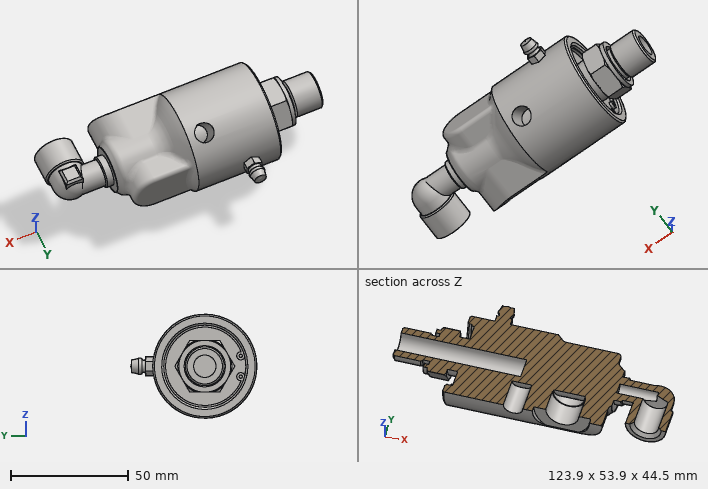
import cadquery as cq
import math

total_length = 123.9
total_width = 53.9
body_dia = 44.5
body_start = 25.9
body_end = 65.0
body_chamfer = 0.7

overlap = 1.2

stub_dia = 16.6
stub_length = 13.1
stub_chamfer = 0.7
relief_dia = 14.6
washer_start = 14.2
washer_hole_dia = 17.6
washer_end = 16.1
nut_size = 22.2
nut_end = 24.8
nut_corner_length = 0.6
nut_corner_depth = 1.2
collar_dia = 19.2
shaft_dia = stub_dia
bore_dia = 9.5
bore_depth = 55.8

recess_dia = 35.0
recess_chamfer = 0.9
ring_recess = 2.0
ring_thickness = 1.2
recess_floor = body_start + ring_recess + ring_thickness
ring_inner_dia = 33.5
ring_eye_dia = 3.5
ring_eye_hole_dia = 1.4
ring_eye_y = -15.4
ring_eye_z = 4.5

hub_dia = 25.9
hub_end = 97.9
hub_end_dia = 20.6
hub_rim_width = 0.2
hub_taper_start = 96.0
hub_taper_radius = 11.8
hub_round_start = 93.4
hub_round_mid_x = 94.9
hub_round_mid_radius = 12.6
shoulder_end = 68.8
blend_start = 70.6
blend_start_radius = 16.4
blend_end = 78.0

lug_center_x = 84.1
port_lug_half_height = 12.8
plain_lug_half_height = 10.0
plain_lug_face_y = 19.1
plain_lug_edge_fillet = 2.0
plain_seam_fillet = 3.0
port_seam_fillet = 2.0
seam_tolerance = 0.001

port_x = 78.5
port_dia = 14.6
port_inner_dia = 13.9
port_step_y = -9.3
port_face_dia = 25.1
port_face_y = -19.8
drain_x = 57.4
drain_dia = 8.5
drain_count = 3

flange_end = 101.3
flange_dia = 13.9
flange_chamfer = 0.5
elbow_tube_dia = 12.0
socket_dia = 18.0
elbow_x = total_length - socket_dia / 2
socket_top_y = -5.7
socket_chamfer = 0.6
socket_end_y = -18.0
elbow_dome_dia = 15.9
elbow_dome_y = -1.5
elbow_boss_size = 7.9
elbow_boss_top = 8.4
elbow_boss_chamfer = 1.0
socket_bore_dia = 10.8
socket_mouth_dia = 13.9
socket_bore_depth = 16.1
socket_cone_depth = 2.5
cross_bore_dia = 5.0

nipple_x = 40.3
nipple_hex_size = 7.0
nipple_hex_start = 18.6
nipple_hex_end = 25.3
nipple_base_radius = 3.0
nipple_neck_radius = 2.6
nipple_neck_y = 26.0
nipple_ball_base_radius = 3.2
nipple_ball_base_y = 26.9
nipple_ball_radius = 3.6
nipple_ball_y = 27.8
nipple_ball_top_radius = 3.3
nipple_ball_top_y = 28.4
nipple_head_radius = 2.7
nipple_head_y = 31.3
nipple_valve_radius = 1.0
nipple_tip_y = total_width - body_dia / 2


def cylinder_x(dia, start, end):
    """Cylinder on the rotor axis between two X positions."""
    return cq.Workplane("YZ", origin=(start, 0, 0)).circle(dia / 2).extrude(end - start)


def cylinder_y(dia, x, start, end):
    """Cylinder along Y, crossing the rotor axis at the given X."""
    plane = cq.Plane(origin=(x, start, 0), xDir=(1, 0, 0), normal=(0, 1, 0))
    return cq.Workplane(plane).circle(dia / 2).extrude(end - start)


def make_rotor():
    stub = cylinder_x(stub_dia, 0, stub_length).faces("<X or >X").chamfer(stub_chamfer)
    washer = cylinder_x(nut_size, washer_start, washer_end)
    washer = washer.cut(cylinder_x(washer_hole_dia, washer_start, washer_end))
    rotor = stub.union(cylinder_x(relief_dia, stub_length - overlap, nut_end)).union(washer)
    corner_dia = nut_size / math.cos(math.pi / 6)
    nut = (
        cq.Workplane("YZ", origin=(washer_end, 0, 0))
        .polygon(6, corner_dia)
        .extrude(nut_end - washer_end)
    )
    rounding = cylinder_x(corner_dia, washer_end, nut_end)
    rounding = rounding.faces("<X or >X").chamfer(nut_corner_length, nut_corner_depth)
    rotor = rotor.union(nut.intersect(rounding))
    return rotor.union(cylinder_x(collar_dia, nut_end, recess_floor))


def make_barrel():
    barrel = cylinder_x(body_dia, body_start, body_end)
    return barrel.faces("<X").chamfer(body_chamfer)


def make_hub():
    cone_angle = 2 * math.atan2(blend_start_radius - hub_dia / 2, blend_end - blend_start)
    shoulder_end_radius = blend_start_radius + (blend_start - shoulder_end) * math.tan(cone_angle)
    profile = (
        cq.Workplane("XY")
        .moveTo(hub_end, 0)
        .lineTo(hub_end, hub_end_dia / 2)
        .lineTo(hub_end - hub_rim_width, hub_end_dia / 2)
        .lineTo(hub_taper_start, hub_taper_radius)
        .threePointArc((hub_round_mid_x, hub_round_mid_radius), (hub_round_start, hub_dia / 2))
        .lineTo(blend_end, hub_dia / 2)
        .tangentArcPoint((blend_start, blend_start_radius), relative=False)
        .lineTo(shoulder_end, shoulder_end_radius)
        .tangentArcPoint((body_end, body_dia / 2), relative=False)
        .lineTo(body_end - overlap, body_dia / 2)
        .lineTo(body_end - overlap, 0)
        .close()
    )
    return profile.revolve(360, (0, 0, 0), (1, 0, 0))


def lug_slab(half_height, start_y, end_y):
    """Slab from the barrel to a semicircular rear end."""
    plane = cq.Plane(origin=(0, start_y, 0), xDir=(1, 0, 0), normal=(0, 1, 0))
    front_x = body_end - overlap
    return (
        cq.Workplane(plane)
        .moveTo(front_x, half_height)
        .lineTo(lug_center_x, half_height)
        .threePointArc((lug_center_x + half_height, 0), (lug_center_x, -half_height))
        .lineTo(front_x, -half_height)
        .close()
        .extrude(end_y - start_y)
    )


def make_port_lug():
    lug = lug_slab(port_lug_half_height, -body_dia / 2, 0)
    return lug.intersect(cylinder_x(body_dia, body_end - overlap, hub_end))


def make_plain_lug():
    lug = lug_slab(plain_lug_half_height, 0, plain_lug_face_y)
    return lug.faces(">Y").edges("not <X").fillet(plain_lug_edge_fillet)


def join_lug(body, hub, lug, fillet_radius):
    """Add a lug and fillet the edges where its surface meets the hub."""
    joined = body.union(lug)
    seam = []
    for edge in joined.edges().vals():
        middle = edge.positionAt(0.5)
        point = cq.Vertex.makeVertex(*middle.toTuple())
        on_both = max(hub.val().distance(point), lug.val().distance(point)) < seam_tolerance
        if on_both and middle.x > body_end + seam_tolerance:
            seam.append(edge)
    return joined.newObject(seam).fillet(fillet_radius)


def cut_front_recess(body):
    """Open the front face and fit a retaining ring with two eyes."""
    recess = cylinder_x(recess_dia, body_start, recess_floor)
    mouth = cq.Solid.makeCone(
        recess_dia / 2 + recess_chamfer,
        recess_dia / 2,
        recess_chamfer,
        pnt=cq.Vector(body_start, 0, 0),
        dir=cq.Vector(1, 0, 0),
    )
    body = body.cut(recess).cut(cq.Workplane(mouth))
    ring_start = body_start + ring_recess
    ring = cylinder_x(recess_dia, ring_start, recess_floor)
    ring = ring.cut(cylinder_x(ring_inner_dia, ring_start, recess_floor))
    gap = cq.Workplane("XY").box(2 * recess_floor, recess_dia, 2 * ring_eye_z)
    ring = ring.cut(gap.translate((0, -recess_dia / 2, 0)))
    eye_plane = cq.Workplane("YZ", origin=(ring_start, 0, 0))
    eye_places = [(ring_eye_y, -ring_eye_z), (ring_eye_y, ring_eye_z)]
    eyes = eye_plane.pushPoints(eye_places).circle(ring_eye_dia / 2).extrude(ring_thickness)
    eye_holes = eye_plane.pushPoints(eye_places).circle(ring_eye_hole_dia / 2).extrude(ring_thickness)
    return body.union(ring).union(eyes).cut(eye_holes)


def cut_side_ports(body):
    """Spot-faced port and drain holes, all reaching the central shaft."""
    outside_y = -body_dia / 2 - overlap
    body = body.cut(cylinder_y(port_face_dia, port_x, outside_y, port_face_y))
    openings = cylinder_y(port_dia, port_x, outside_y, port_step_y)
    openings = openings.union(cylinder_y(port_inner_dia, port_x, port_step_y, 0))
    for i in range(drain_count):
        drain = cylinder_y(drain_dia, drain_x, outside_y, 0)
        openings = openings.union(drain.rotate((0, 0, 0), (1, 0, 0), i * 360 / drain_count))
    return body.cut(openings.cut(cylinder_x(shaft_dia, body_start, hub_end)))


def make_elbow():
    flange = cylinder_x(flange_dia, hub_end - overlap, flange_end).faces(">X").chamfer(flange_chamfer)
    elbow = flange.union(cylinder_x(elbow_tube_dia, hub_end, elbow_x))
    dome = cq.Workplane("XY").sphere(elbow_dome_dia / 2).translate((elbow_x, elbow_dome_y, 0))
    elbow = elbow.union(dome)
    elbow = elbow.union(cylinder_y(elbow_dome_dia, elbow_x, socket_top_y, elbow_dome_y))
    socket = cylinder_y(socket_dia, elbow_x, socket_end_y, socket_top_y)
    elbow = elbow.union(socket.faces(">Y").chamfer(socket_chamfer))
    boss = (
        cq.Workplane("XY", origin=(elbow_x, 0, 0))
        .rect(elbow_boss_size, elbow_boss_size)
        .extrude(elbow_boss_top)
        .faces(">Z")
        .chamfer(elbow_boss_chamfer)
    )
    elbow = elbow.union(boss)
    bore_radius = socket_bore_dia / 2
    mouth_radius = socket_mouth_dia / 2
    bore_end_y = socket_end_y + socket_bore_depth
    mouth_end_y = socket_end_y + mouth_radius - bore_radius
    bore = (
        cq.Workplane("XY", origin=(elbow_x, 0, 0))
        .moveTo(0, socket_end_y)
        .lineTo(mouth_radius, socket_end_y)
        .lineTo(bore_radius, mouth_end_y)
        .lineTo(bore_radius, bore_end_y)
        .lineTo(0, bore_end_y + socket_cone_depth)
        .close()
        .revolve(360, (0, 0, 0), (0, 1, 0))
    )
    return elbow.cut(bore.union(cylinder_x(cross_bore_dia, hub_end, elbow_x)))


def make_nipple():
    plane = cq.Plane(origin=(nipple_x, nipple_hex_start, 0), xDir=(0, 0, 1), normal=(0, 1, 0))
    hexagon = (
        cq.Workplane(plane)
        .polygon(6, nipple_hex_size / math.cos(math.pi / 6))
        .extrude(nipple_hex_end - nipple_hex_start)
    )
    head = (
        cq.Workplane("XY", origin=(nipple_x, 0, 0))
        .moveTo(0, nipple_hex_end)
        .lineTo(nipple_base_radius, nipple_hex_end)
        .threePointArc((nipple_neck_radius, nipple_neck_y), (nipple_ball_base_radius, nipple_ball_base_y))
        .threePointArc((nipple_ball_radius, nipple_ball_y), (nipple_ball_top_radius, nipple_ball_top_y))
        .lineTo(nipple_head_radius, nipple_head_y)
        .lineTo(nipple_valve_radius, nipple_head_y)
        .lineTo(0, nipple_tip_y)
        .close()
        .revolve(360, (0, 0, 0), (0, 1, 0))
    )
    return hexagon.union(head)


hub = make_hub()
body = make_barrel().union(hub)
body = join_lug(body, hub, make_plain_lug(), plain_seam_fillet)
body = join_lug(body, hub, make_port_lug(), port_seam_fillet)
body = cut_side_ports(body)
body = cut_front_recess(body)
rotor_bore = cylinder_x(bore_dia, 0, bore_depth)
result = body.union(make_rotor()).cut(rotor_bore).union(make_elbow()).union(make_nipple())